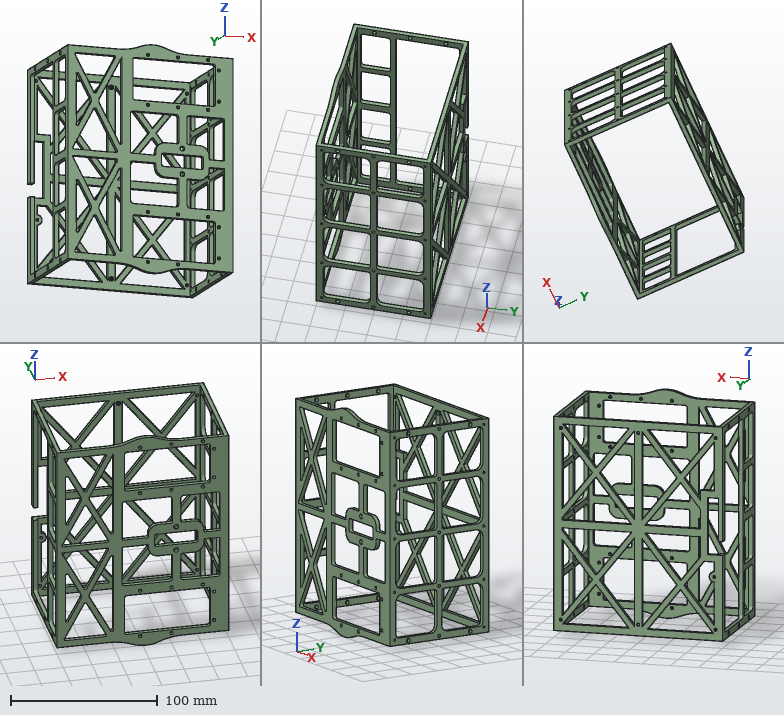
import cadquery as cq
import math

WIDTH = 120.0
DEPTH = 80.0
TOTAL_HEIGHT = 159.8
EAR_RISE = 5.0
HEIGHT = TOTAL_HEIGHT - 2 * EAR_RISE
TOP = HEIGHT / 2
WALL = 3.0
RIM = 5.0
CORNER_R = 1.0
MID_X = WIDTH / 2
MID_Y = DEPTH / 2

EAR_X = 62.0
EAR_HALF_WIDTH = 25.1
EAR_CROWN_HALF_WIDTH = 9.6
TRUSS_LEFT = 6.0
TRUSS_RIGHT = 39.3
TRUSS_HUB_X = 19.8
TRUSS_HUB_Z = TOP / 2
TRUSS_TILT = 0.54
TRUSS_BAR_HALF_X = 2.2
TRUSS_HUB_R = 4.0
TRUSS_MID_BAR = 4.5
PANEL_WINDOW_LEFT = 47.3
PANEL_WINDOW_RIGHT = 107.1
PANEL_WINDOW_SILL = 40.3
PANEL_WINDOW_R = 1.5
GRIP_OPENING_LEFT = 45.5
GRIP_OPENING_RIGHT = 114.0
GRIP_OPENING_TOP = 32.5
GRIP_OPENING_R = 2.0
GRIP_X = 83.3
GRIP_WIDTH = 38.8
GRIP_HEIGHT = 24.1
GRIP_R = 7.0
GRIP_WEB_X = 83.6
GRIP_WEB = 6.0
GRIP_BAR = 5.5
GRIP_SLOT_WIDTH = 30.2
GRIP_SLOT_HEIGHT = 9.3
GRIP_SLOT_R = 1.5
GRIP_HOLE_D = 3.2
GRIP_HOLE_Z = 9.0
MOUNT_HOLE_D = 2.0
MOUNT_X = 80.0
MOUNT_PITCH = 21.9
MOUNT_ROW_Z = (37.5, TOP - 2.4)
MOUNT_SIDE_X = 109.8
MOUNT_SIDE_Z = (TOP - 9.1 - MOUNT_PITCH, TOP - 9.1)

BACK_RIM = 6.0
BACK_BAR = 5.5
BACK_DIAGONAL = 4.0
BACK_HOLE_D = 1.9
BACK_BORE_D = 3.0
BACK_HOLE_EDGE_D = 2.0
BACK_HOLE_DROP = 7.8
BACK_HOLE_EDGE_X = 5.1
NOTCH_TOP = 25.0
NOTCH_BOTTOM = -14.9
NOTCH_RIGHT = 10.9
NOTCH_BAR = 5.0
COLUMN_GAP_TOP = -5.3
LUG_X = 6.0
LUG_Z = -30.2
LUG_R = 3.5
LUG_HOLE_D = 1.9

LEFT_REAR_STRIP = 5.6
POST_FRONT = 26.2
POST_WIDTH = 3.5
LADDER_RIM = 5.6
LADDER_FRONT_RIM = 5.3
LADDER_MID_RUNG = 5.6
LADDER_RUNG = 4.2
LADDER_RUNG_Z = 35.2
LEFT_WINDOW_R = 2.0
GRID_BAR = 4.2
GRID_PITCH = HEIGHT / 4
GRID_GUSSET_R = 5.0
GRID_RIM_CORNER_R = 3.0
GRID_NODE_R = 1.9
SIDE_HOLE_D = 2.7
SIDE_HOLE_PITCH = 25.0
SIDE_HOLE_DROP = 2.4
NODE_HOLE_D = 1.9
GRID_EDGE_HOLE_D = 1.5
GRID_EDGE_HOLE_INSET = 4.0


def xz_box(x0, x1, z0, z1, y0=0.0, y1=WALL):
    """Block given by its limits along X and Z, lying in the front wall by default."""
    return cq.Workplane("XY").box(x1 - x0, y1 - y0, z1 - z0, centered=False).translate((x0, y0, z0))


def back_box(x0, x1, z0, z1):
    """Block lying in the back wall."""
    return xz_box(x0, x1, z0, z1, DEPTH - WALL, DEPTH)


def side_box(x0, y0, y1, z0, z1):
    """Block lying in the side wall that starts at x0."""
    return xz_box(x0, x0 + WALL, z0, z1, y0, y1)


def xz_pins(points, diameter, y0=0.0):
    """Hole cutters through the front or back wall."""
    pins = cq.Workplane("XZ", origin=(0, y0, 0)).pushPoints(points)
    return pins.circle(diameter / 2).extrude(-WALL)


def yz_pins(points, diameter, x0):
    """Hole cutters through a side wall."""
    return cq.Workplane("YZ", origin=(x0, 0, 0)).pushPoints(points).circle(diameter / 2).extrude(WALL)


def round_corner(cutter, x, y, z, radius):
    """Fillet the one edge that passes closest to a point."""
    return cutter.edges(cq.NearestToPointSelector((x, y, z))).fillet(radius)


def both_halves(points):
    """The points and their mirror images below mid-height."""
    return [(across, sign * z) for across, z in points for sign in (1, -1)]


def ear():
    """Upper bulge of the front wall: one crown arc between two tangent flare arcs."""
    sweep = 2 * math.atan(EAR_RISE / EAR_HALF_WIDTH)
    flare_half = EAR_HALF_WIDTH - EAR_CROWN_HALF_WIDTH
    flare_r = flare_half / math.sin(sweep)
    joint_z = TOP + flare_r * (1 - math.cos(sweep))
    flare_mid_x = EAR_HALF_WIDTH - flare_r * math.sin(sweep / 2)
    flare_mid_z = TOP + flare_r * (1 - math.cos(sweep / 2))
    return (
        cq.Workplane("XZ", origin=(EAR_X, 0, 0))
        .moveTo(-EAR_HALF_WIDTH, TOP - RIM / 2)
        .lineTo(-EAR_HALF_WIDTH, TOP)
        .threePointArc((-flare_mid_x, flare_mid_z), (-EAR_CROWN_HALF_WIDTH, joint_z))
        .threePointArc((0, TOP + EAR_RISE), (EAR_CROWN_HALF_WIDTH, joint_z))
        .threePointArc((flare_mid_x, flare_mid_z), (EAR_HALF_WIDTH, TOP))
        .lineTo(EAR_HALF_WIDTH, TOP - RIM / 2)
        .close()
        .extrude(-WALL)
    )


def truss_window(corners):
    """Triangular window from (x, z, radius) corners; radius 0 leaves a corner sharp."""
    cutter = cq.Workplane("XZ").polyline([(x, z) for x, z, _ in corners]).close().extrude(-WALL)
    for x, z, radius in corners:
        if radius:
            cutter = round_corner(cutter, x, WALL / 2, z, radius)
    return cutter


def truss_windows(upper_tip_r):
    """Four windows around the crossed bars of the upper truss bay."""
    ceiling = TOP - RIM
    floor = TRUSS_MID_BAR / 2
    tip_rise = TRUSS_BAR_HALF_X / TRUSS_TILT
    windows = []
    for edge_z, tip_z in ((ceiling, TRUSS_HUB_Z + tip_rise), (floor, TRUSS_HUB_Z - tip_rise)):
        half = abs(edge_z - tip_z) * TRUSS_TILT
        windows.append(truss_window([
            (TRUSS_HUB_X - half, edge_z, CORNER_R),
            (TRUSS_HUB_X + half, edge_z, CORNER_R),
            (TRUSS_HUB_X, tip_z, CORNER_R),
        ]))
    for edge_x, side, top_r in ((TRUSS_LEFT, -1, CORNER_R), (TRUSS_RIGHT, 1, upper_tip_r)):
        hub_x = TRUSS_HUB_X + side * TRUSS_BAR_HALF_X
        half = abs(edge_x - hub_x) / TRUSS_TILT
        windows.append(truss_window([
            (edge_x, TRUSS_HUB_Z + half, top_r),
            (edge_x, TRUSS_HUB_Z - half, CORNER_R),
            (hub_x, TRUSS_HUB_Z, TRUSS_HUB_R),
        ]))
    return windows


def grip_plate():
    """Rounded plate that carries the grip slot."""
    plate = xz_box(GRIP_X - GRIP_WIDTH / 2, GRIP_X + GRIP_WIDTH / 2, -GRIP_HEIGHT / 2, GRIP_HEIGHT / 2)
    return plate.edges("|Y").fillet(GRIP_R)


def grip_window(side):
    """Upper window beside the grip plate, left (-1) or right (1) of its web."""
    outer_x = GRIP_OPENING_LEFT if side < 0 else GRIP_OPENING_RIGHT
    web_x = GRIP_WEB_X + side * GRIP_WEB / 2
    plate_x = GRIP_X + side * GRIP_WIDTH / 2
    bar_z = GRIP_BAR / 2
    plate_z = GRIP_HEIGHT / 2
    cutter = xz_box(min(outer_x, web_x), max(outer_x, web_x), bar_z, GRIP_OPENING_TOP)
    cutter = cutter.cut(grip_plate())
    corners = (
        (outer_x, GRIP_OPENING_TOP, GRIP_OPENING_R),
        (web_x, GRIP_OPENING_TOP, GRIP_OPENING_R),
        (web_x, plate_z, CORNER_R),
        (plate_x, bar_z, CORNER_R),
        (outer_x, bar_z, CORNER_R),
    )
    for x, z, radius in corners:
        cutter = round_corner(cutter, x, WALL / 2, z, radius)
    return cutter


def front_wall():
    wall = xz_box(0, WIDTH, -TOP, TOP)
    wall = wall.union(ear()).union(ear().mirror("XY"))

    panel_window = xz_box(PANEL_WINDOW_LEFT, PANEL_WINDOW_RIGHT, PANEL_WINDOW_SILL, TOP - RIM)
    mirrored_windows = [panel_window.edges("|Y").fillet(PANEL_WINDOW_R), grip_window(-1), grip_window(1)]
    for window in mirrored_windows:
        wall = wall.cut(window).cut(window.mirror("XY"))

    for window in truss_windows(0):
        wall = wall.cut(window)
    for window in truss_windows(CORNER_R):
        wall = wall.cut(window.mirror("XY"))

    slot = xz_box(
        GRIP_X - GRIP_SLOT_WIDTH / 2, GRIP_X + GRIP_SLOT_WIDTH / 2,
        -GRIP_SLOT_HEIGHT / 2, GRIP_SLOT_HEIGHT / 2,
    )
    wall = wall.cut(slot.edges("|Y").fillet(GRIP_SLOT_R))
    wall = wall.cut(xz_pins(both_halves([(GRIP_X, GRIP_HOLE_Z)]), GRIP_HOLE_D))

    columns = [MOUNT_X + step * MOUNT_PITCH for step in (-1, 0, 1)]
    mounts = both_halves([(x, z) for x in columns for z in MOUNT_ROW_Z])
    mounts.remove((columns[-1], -MOUNT_ROW_Z[-1]))
    mounts += both_halves([(MOUNT_SIDE_X, z) for z in MOUNT_SIDE_Z])
    return wall.cut(xz_pins(mounts, MOUNT_HOLE_D))


def back_diagonals():
    """Crossed bars along the diagonals of the four quarters of the back wall."""
    length = math.hypot(MID_X, TOP)
    tilt = math.degrees(math.atan2(TOP, MID_X))
    bars = cq.Workplane("XY")
    for x in (MID_X / 2, 3 * MID_X / 2):
        for z in (-TOP / 2, TOP / 2):
            for angle in (-tilt, tilt):
                bar = cq.Workplane("XY").box(length, WALL, BACK_DIAGONAL)
                bar = bar.rotate((0, 0, 0), (0, 1, 0), angle)
                bars = bars.union(bar.translate((x, DEPTH - WALL / 2, z)))
    return bars.intersect(back_box(0, WIDTH, -TOP, TOP))


def back_wall():
    wall = back_box(0, WIDTH, -TOP, TOP)
    wall = wall.cut(back_box(BACK_RIM, WIDTH - BACK_RIM, -TOP + RIM, TOP - RIM))
    wall = wall.union(back_box(MID_X - BACK_BAR / 2, MID_X + BACK_BAR / 2, -TOP, TOP))
    wall = wall.union(back_box(0, WIDTH, -BACK_BAR / 2, BACK_BAR / 2))
    wall = wall.union(back_diagonals())

    bar_right = NOTCH_RIGHT + NOTCH_BAR
    wall = wall.union(back_box(0, bar_right, NOTCH_TOP, NOTCH_TOP + NOTCH_BAR))
    wall = wall.union(back_box(0, bar_right, NOTCH_BOTTOM - NOTCH_BAR, NOTCH_BOTTOM))
    wall = wall.union(back_box(NOTCH_RIGHT, bar_right, NOTCH_BOTTOM, NOTCH_TOP))
    wall = wall.cut(back_box(WALL, NOTCH_RIGHT, NOTCH_BOTTOM, NOTCH_TOP))

    inner_y = DEPTH - WALL
    wall = wall.union(xz_pins([(LUG_X, LUG_Z)], 2 * LUG_R, inner_y))
    wall = wall.cut(xz_pins([(LUG_X, LUG_Z)], LUG_HOLE_D, inner_y))

    hole_z = TOP - BACK_HOLE_DROP
    post_holes = both_halves([(MID_X, hole_z)])
    wall = wall.cut(xz_pins(post_holes, BACK_HOLE_D, inner_y))
    wall = wall.cut(xz_pins(post_holes, BACK_BORE_D, inner_y - WALL / 2))
    edge_columns = (BACK_HOLE_EDGE_X, WIDTH - BACK_HOLE_EDGE_X)
    edge_holes = both_halves([(x, hole_z) for x in edge_columns])
    return wall.cut(xz_pins(edge_holes, BACK_HOLE_EDGE_D, inner_y))


def side_rim_holes(x0, steps):
    """Holes in the upper and lower rims of a side wall, placed in pitch steps from mid-depth."""
    row = [MID_Y + step * SIDE_HOLE_PITCH for step in steps]
    return yz_pins(both_halves([(y, TOP - SIDE_HOLE_DROP) for y in row]), SIDE_HOLE_D, x0)


def left_wall():
    """Ladder of four windows at the front and one tall opening at the rear."""
    wall = side_box(0, 0, DEPTH, -TOP, TOP)
    tall = side_box(0, POST_FRONT + POST_WIDTH, DEPTH - LEFT_REAR_STRIP, -TOP + RIM, TOP - RIM)
    wall = wall.cut(tall.edges("|X").fillet(LEFT_WINDOW_R))
    bays = (
        (LADDER_MID_RUNG / 2, LADDER_RUNG_Z - LADDER_RUNG / 2),
        (LADDER_RUNG_Z + LADDER_RUNG / 2, TOP - LADDER_RIM),
    )
    for z0, z1 in bays:
        window = side_box(0, LADDER_FRONT_RIM, POST_FRONT, z0, z1).edges("|X").fillet(LEFT_WINDOW_R)
        wall = wall.cut(window).cut(window.mirror("XY"))
    return wall.cut(side_rim_holes(0, (-1, 0, 1)))


def right_wall():
    """Grid of two columns and four rows with gussets where the bars meet the rim."""
    x0 = WIDTH - WALL
    wall = side_box(x0, 0, DEPTH, -TOP, TOP)
    inner_y = MID_Y - GRID_BAR / 2
    for row in (0, 1):
        z0 = row * GRID_PITCH + GRID_BAR / 2
        z1 = TOP - RIM if row else GRID_PITCH - GRID_BAR / 2
        rim_end_r = GRID_RIM_CORNER_R if row else GRID_GUSSET_R
        bar_end_r = GRID_GUSSET_R if row else GRID_NODE_R
        window = side_box(x0, RIM, inner_y, z0, z1)
        corners = (
            (RIM, z0, GRID_GUSSET_R),
            (inner_y, z0, GRID_NODE_R),
            (RIM, z1, rim_end_r),
            (inner_y, z1, bar_end_r),
        )
        for y, z, radius in corners:
            window = round_corner(window, x0 + WALL / 2, y, z, radius)
        rear_window = window.mirror("XZ", (0, MID_Y, 0))
        for cutter in (window, rear_window):
            wall = wall.cut(cutter).cut(cutter.mirror("XY"))

    bar_rows = (-GRID_PITCH, 0, GRID_PITCH)
    wall = wall.cut(side_rim_holes(x0, (-1, 1)))
    middle_holes = [(MID_Y, z) for z in bar_rows] + both_halves([(MID_Y, TOP - SIDE_HOLE_DROP)])
    wall = wall.cut(yz_pins(middle_holes, NODE_HOLE_D, x0))
    end_z = TOP - GRID_EDGE_HOLE_INSET
    edge_columns = (GRID_EDGE_HOLE_INSET, DEPTH - GRID_EDGE_HOLE_INSET)
    edge_holes = [(y, z) for y in edge_columns for z in (-end_z, *bar_rows, end_z)]
    return wall.cut(yz_pins(edge_holes, GRID_EDGE_HOLE_D, x0))


column_gap = xz_box(0, NOTCH_RIGHT, NOTCH_BOTTOM, COLUMN_GAP_TOP, DEPTH - LEFT_REAR_STRIP, DEPTH)

result = front_wall().union(back_wall()).union(left_wall()).union(right_wall()).cut(column_gap)